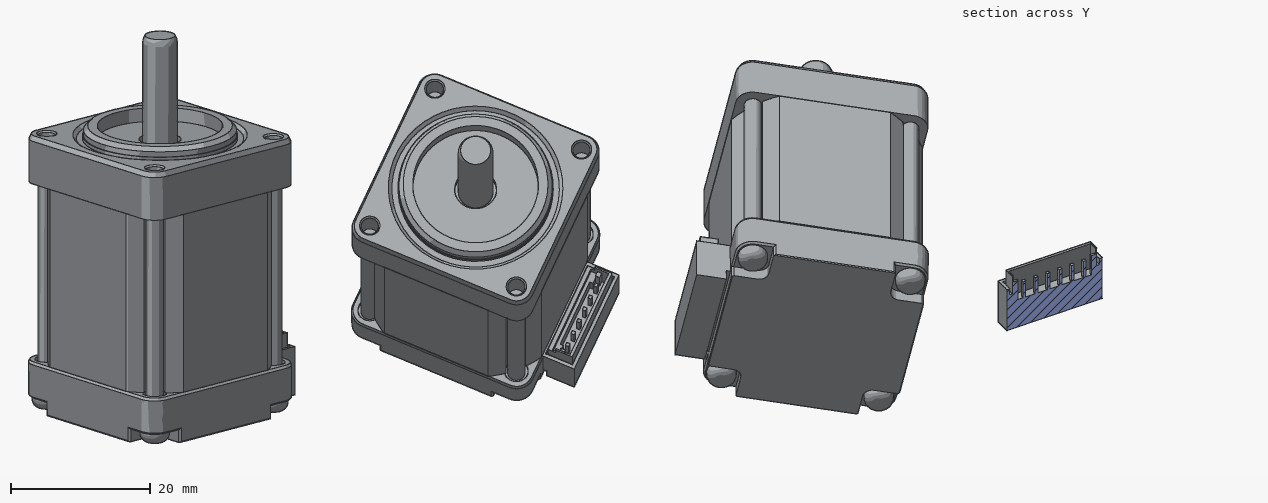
import cadquery as cq
import math

TOTAL_HEIGHT = 56.05
TOTAL_DEPTH = 33.05
SCREW_OFFSET = 11.5
CORNER_RADIUS = 2.45

CAP_WIDTH = 28.2
CAP_HEIGHT = 7.4
CAP_DRAFT = 0.6
CAP_BEVEL_HEIGHT = 0.4
CAP_BEVEL_INSET = 0.2
BASE_BEVEL_HEIGHT = 0.15
BASE_BEVEL_INSET = 0.1
NOTCH_HEIGHT = 1.9
NOTCH_INNER = 8.9
NOTCH_CHAMFER = 0.3
NOTCH_RADIUS = 1.4
ROD_POCKET_DIAMETER = 3.35
ROD_POCKET_DEPTH = 0.55

STATOR_WIDTH = 27.9
STATOR_DIAMETER = 32.3
ROD_GROOVE_DIAMETER = 3.0

FLANGE_WIDTH = 28.0
FLANGE_HEIGHT = 7.1
FLANGE_TOP = 41.15
FLANGE_BOTTOM = FLANGE_TOP - FLANGE_HEIGHT
FLANGE_BEVEL_HEIGHT = 0.75
FLANGE_BEVEL_INSET = 0.35
HOLE_DIAMETER = 2.45
HOLE_DEPTH = 4.5
HOLE_CHAMFER = 0.2
COUNTERSINK_ANGLE = 90

SCREW_DIAMETER = 2.5
HEAD_RADIUS = 2.15
HEAD_BOTTOM = 0.15
HEAD_RIM_BOTTOM = 1.55
HEAD_FLAT_RADIUS = 1.0
DOME_MID_RADIUS = 1.85
DOME_MID_HEIGHT = 0.7

BOSS_DIAMETER = 21.95
BOSS_HEIGHT = 1.4
BOSS_TOP = FLANGE_TOP + BOSS_HEIGHT
BOSS_CHAMFER = 0.6
GROOVE_DIAMETER = 25.0
GROOVE_FLOOR_DIAMETER = 24.0
GROOVE_INNER_DIAMETER = 22.25
GROOVE_DEPTH = 0.5
GROOVE_FLOOR = FLANGE_TOP - GROOVE_DEPTH
RECESS_DIAMETER = 18.0
RECESS_DEPTH = 2.0
RECESS_FLOOR = BOSS_TOP - RECESS_DEPTH
SHAFT_DIAMETER = 5.0
SHAFT_HOLE_DIAMETER = 6.0
SHAFT_HOLE_DEPTH = 1.0
SHAFT_HOLE_FLOOR = RECESS_FLOOR - SHAFT_HOLE_DEPTH
SHAFT_END_HEIGHT = 1.05
SHAFT_END_INSET = 0.35

SHELL_WIDTH = 15.8
SHELL_FRONT = 13.75
SHELL_BACK = TOTAL_DEPTH - CAP_WIDTH / 2
SHELL_BOTTOM = 0.15
SHELL_WALL = 0.5
SHELL_POCKET_FRONT = 14.25
SHELL_POCKET_DEPTH = 1.0
SHELL_POCKET_FLOOR = CAP_HEIGHT - SHELL_POCKET_DEPTH
SHELL_RELIEF_BACK = 14.65
SHELL_RELIEF_TOP = 1.95

HEADER_WIDTH = 14.0
HEADER_FRONT = 14.45
HEADER_BACK = 18.3
HEADER_TOP = 9.4
HEADER_STEP = 15.65
HEADER_STEP_TOP = 8.4
HEADER_SIDE_WALL = 0.2
HEADER_FRONT_WALL = 0.6
HEADER_BACK_WALL = 0.45
CAVITY_FLOOR = 5.05
CAVITY_HALF_WIDTH = HEADER_WIDTH / 2 - HEADER_SIDE_WALL
CAVITY_FRONT = HEADER_FRONT + HEADER_FRONT_WALL
CAVITY_BACK = HEADER_BACK - HEADER_BACK_WALL
LEDGE_DEPTH = 0.5
LEDGE_TOP = 7.4
POST_WIDTH = 1.55
POST_DEPTH = 1.0
KEY_WIDTH = 0.75
KEY_FRONT = 16.1
KEY_BACK = 16.75
PIN_COUNT = 6
PIN_ROW_LENGTH = 10.0
PIN_SIZE = 0.5
PIN_Y = 16.65
PIN_TOP = 7.85

CORNER_SIGNS = [(-1, -1), (1, -1), (1, 1), (-1, 1)]
SCREW_POINTS = [(sx * SCREW_OFFSET, sy * SCREW_OFFSET) for sx, sy in CORNER_SIGNS]


def block(x0, x1, y0, y1, z0, z1):
    """Box between two opposite corners."""
    return cq.Workplane("XY").box(x1 - x0, y1 - y0, z1 - z0, centered=False).translate((x0, y0, z0))


def centered_block(width, y0, y1, z0, z1):
    """Box centred on X = 0."""
    return block(-width / 2, width / 2, y0, y1, z0, z1)


def cylinders(points, diameter, z0, z1):
    """Equal vertical cylinders on the given points."""
    return cq.Workplane("XY").workplane(offset=z0).pushPoints(points).circle(diameter / 2).extrude(z1 - z0)


def disc(diameter, z0, z1):
    """Vertical cylinder on the motor axis."""
    return cylinders([(0, 0)], diameter, z0, z1)


def cone(bottom_diameter, top_diameter, z0, z1):
    """Truncated cone on the motor axis."""
    lower = cq.Workplane("XY").workplane(offset=z0).circle(bottom_diameter / 2)
    return lower.workplane(offset=z1 - z0).circle(top_diameter / 2).loft()


def rounded_square(width, z0, z1, draft=0):
    """Square prism on the motor axis with rounded corners; it widens upward by the draft angle."""
    outline = cq.Sketch().rect(width, width).vertices().fillet(CORNER_RADIUS)
    return cq.Workplane("XY").workplane(offset=z0).placeSketch(outline).extrude(z1 - z0, taper=-draft)


def is_notch_mouth(edge):
    """True for the notch edges that lie on the outer sides of the cap."""
    center = edge.Center()
    reach = max(abs(center.x), abs(center.y))
    between_bevel_and_sides = 2 * BASE_BEVEL_HEIGHT < center.z < CAP_HEIGHT / 2
    return between_bevel_and_sides and reach > CAP_WIDTH / 2 - NOTCH_RADIUS


def make_cap():
    """Drafted square cap, notched at its lower corners for the screw heads."""
    widening = 2 * (CAP_HEIGHT - CAP_BEVEL_HEIGHT) * math.tan(math.radians(CAP_DRAFT))
    cap = rounded_square(CAP_WIDTH - widening, 0, CAP_HEIGHT, CAP_DRAFT)
    cap = cap.faces(">Z").chamfer(CAP_BEVEL_HEIGHT, CAP_BEVEL_INSET)
    cap = cap.faces("<Z").chamfer(BASE_BEVEL_HEIGHT, BASE_BEVEL_INSET)
    for sx, sy in CORNER_SIGNS:
        x_range = sorted((sx * NOTCH_INNER, sx * CAP_WIDTH))
        y_range = sorted((sy * NOTCH_INNER, sy * CAP_WIDTH))
        cap = cap.cut(block(*x_range, *y_range, 0, NOTCH_HEIGHT).edges("|Z").fillet(NOTCH_RADIUS))
    cap = cap.edges().filter(is_notch_mouth).chamfer(NOTCH_CHAMFER)
    pocket_floor = CAP_HEIGHT - ROD_POCKET_DEPTH
    return cap.cut(cylinders(SCREW_POINTS, ROD_POCKET_DIAMETER, pocket_floor, CAP_HEIGHT))


def make_stator():
    """Square stack turned round at its corners, with a groove along each screw."""
    half = STATOR_WIDTH / 2
    stator = centered_block(STATOR_WIDTH, -half, half, CAP_HEIGHT, FLANGE_BOTTOM)
    stator = stator.intersect(disc(STATOR_DIAMETER, CAP_HEIGHT, FLANGE_BOTTOM))
    return stator.cut(cylinders(SCREW_POINTS, ROD_GROOVE_DIAMETER, CAP_HEIGHT, FLANGE_BOTTOM))


def make_flange():
    """Front flange with pilot boss, conical groove, recess, shaft hole and corner holes."""
    flange = rounded_square(FLANGE_WIDTH, FLANGE_BOTTOM, FLANGE_TOP)
    flange = flange.faces(">Z").chamfer(FLANGE_BEVEL_HEIGHT, FLANGE_BEVEL_INSET)
    holes = flange.faces(">Z").workplane(origin=(0, 0, FLANGE_TOP)).pushPoints(SCREW_POINTS)
    flange = holes.cskHole(HOLE_DIAMETER, HOLE_DIAMETER + 2 * HOLE_CHAMFER, COUNTERSINK_ANGLE, HOLE_DEPTH)
    groove = cone(GROOVE_FLOOR_DIAMETER, GROOVE_DIAMETER, GROOVE_FLOOR, FLANGE_TOP)
    flange = flange.cut(groove.cut(disc(GROOVE_INNER_DIAMETER, GROOVE_FLOOR, FLANGE_TOP)))
    boss = disc(BOSS_DIAMETER, FLANGE_TOP, BOSS_TOP).faces(">Z").chamfer(BOSS_CHAMFER)
    flange = flange.union(boss)
    flange = flange.cut(disc(RECESS_DIAMETER, RECESS_FLOOR, BOSS_TOP))
    return flange.cut(disc(SHAFT_HOLE_DIAMETER, SHAFT_HOLE_FLOOR, RECESS_FLOOR))


def make_shaft():
    """Plain shaft with a rounded end."""
    radius = SHAFT_DIAMETER / 2
    profile = (
        cq.Workplane("XZ")
        .moveTo(0, FLANGE_BOTTOM)
        .lineTo(radius, FLANGE_BOTTOM)
        .lineTo(radius, TOTAL_HEIGHT - SHAFT_END_HEIGHT)
        .tangentArcPoint((radius - SHAFT_END_INSET, TOTAL_HEIGHT), relative=False)
        .lineTo(0, TOTAL_HEIGHT)
        .close()
    )
    return profile.revolve(360, (0, 0), (0, 1))


def make_screw():
    """Long screw from the flange down through the cap, with a domed head below it."""
    rod_radius = SCREW_DIAMETER / 2
    profile = (
        cq.Workplane("XZ")
        .moveTo(0, HEAD_BOTTOM)
        .lineTo(HEAD_FLAT_RADIUS, HEAD_BOTTOM)
        .threePointArc((DOME_MID_RADIUS, DOME_MID_HEIGHT), (HEAD_RADIUS, HEAD_RIM_BOTTOM))
        .lineTo(HEAD_RADIUS, NOTCH_HEIGHT)
        .lineTo(rod_radius, NOTCH_HEIGHT)
        .lineTo(rod_radius, FLANGE_BOTTOM)
        .lineTo(0, FLANGE_BOTTOM)
        .close()
    )
    return profile.revolve(360, (0, 0), (0, 1))


def make_shell():
    """Connector shell with a shallow top pocket, relieved below next to the cap."""
    shell = centered_block(SHELL_WIDTH, SHELL_FRONT, SHELL_BACK, SHELL_BOTTOM, CAP_HEIGHT)
    relief = centered_block(SHELL_WIDTH, SHELL_FRONT, SHELL_RELIEF_BACK, SHELL_BOTTOM, SHELL_RELIEF_TOP)
    pocket_width = SHELL_WIDTH - 2 * SHELL_WALL
    pocket_back = SHELL_BACK - SHELL_WALL
    pocket = centered_block(pocket_width, SHELL_POCKET_FRONT, pocket_back, SHELL_POCKET_FLOOR, CAP_HEIGHT)
    return shell.cut(relief).cut(pocket)


def make_header():
    """Header block with a lower front part."""
    header = centered_block(HEADER_WIDTH, HEADER_FRONT, HEADER_BACK, SHELL_POCKET_FLOOR, HEADER_TOP)
    return header.cut(centered_block(HEADER_WIDTH, HEADER_FRONT, HEADER_STEP, HEADER_STEP_TOP, HEADER_TOP))


def make_cavity():
    """Opening in the header that holds the pins."""
    return centered_block(2 * CAVITY_HALF_WIDTH, CAVITY_FRONT, CAVITY_BACK, CAVITY_FLOOR, HEADER_TOP)


def make_cavity_details():
    """Front ledge with end posts, a key on each side and the row of pins."""
    ledge_back = CAVITY_FRONT + LEDGE_DEPTH
    details = centered_block(2 * CAVITY_HALF_WIDTH, CAVITY_FRONT, ledge_back, CAVITY_FLOOR, LEDGE_TOP)
    post_inner = CAVITY_HALF_WIDTH - POST_WIDTH
    post_back = CAVITY_FRONT + POST_DEPTH
    post = block(post_inner, CAVITY_HALF_WIDTH, CAVITY_FRONT, post_back, CAVITY_FLOOR, LEDGE_TOP)
    key_inner = CAVITY_HALF_WIDTH - KEY_WIDTH
    key = block(key_inner, CAVITY_HALF_WIDTH, KEY_FRONT, KEY_BACK, CAVITY_FLOOR, HEADER_STEP_TOP)
    for side_part in (post, key):
        details = details.union(side_part).union(side_part.mirror("YZ"))
    pitch = PIN_ROW_LENGTH / (PIN_COUNT - 1)
    pin = centered_block(PIN_SIZE, PIN_Y - PIN_SIZE / 2, PIN_Y + PIN_SIZE / 2, CAVITY_FLOOR, PIN_TOP)
    for index in range(PIN_COUNT):
        details = details.union(pin.translate((index * pitch - PIN_ROW_LENGTH / 2, 0, 0)))
    return details


motor = make_cap().union(make_stator()).union(make_flange()).union(make_shaft())
screw = make_screw()
for screw_x, screw_y in SCREW_POINTS:
    motor = motor.union(screw.translate((screw_x, screw_y, 0)))

connector = make_shell().union(make_header()).cut(make_cavity()).union(make_cavity_details())
result = motor.union(connector)